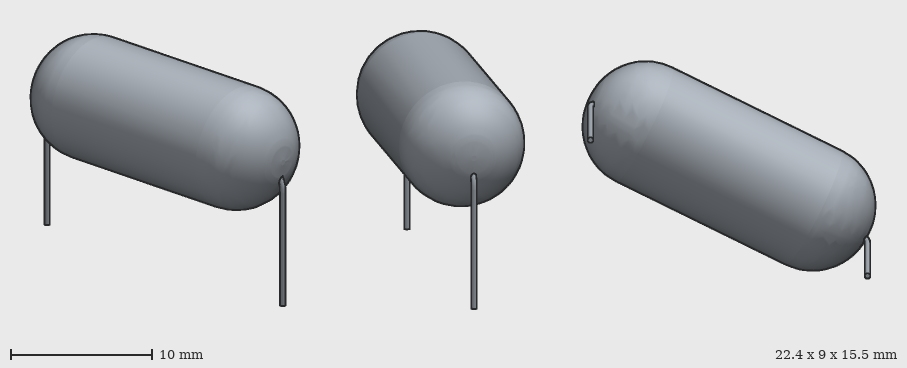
import cadquery as cq

OVERALL_LENGTH = 22.4
BODY_DIAMETER = 9.0
BARREL_LENGTH = 13.45
LEAD_DIAMETER = 0.4
BEND_RADIUS = 2.26
OVERALL_HEIGHT = 15.5

body_radius = BODY_DIAMETER / 2
lead_radius = LEAD_DIAMETER / 2
tip_radius = lead_radius
cap_radius = body_radius - tip_radius
body_length = BARREL_LENGTH + 2 * cap_radius
lead_x = OVERALL_LENGTH / 2 - lead_radius
lead_bottom = body_radius - OVERALL_HEIGHT
leg_length = -BEND_RADIUS - lead_bottom


def make_lead(side):
    """Vertical leg with a quarter bend inward to the capsule axis; side is -1 or 1."""
    leg_x = side * lead_x
    leg = (
        cq.Workplane("XY", origin=(leg_x, 0, lead_bottom))
        .circle(lead_radius)
        .extrude(leg_length)
    )
    bend = (
        cq.Workplane("XY", origin=(leg_x, 0, -BEND_RADIUS))
        .circle(lead_radius)
        .revolve(90, (-side * BEND_RADIUS, 0, 0), (-side * BEND_RADIUS, -side, 0))
    )
    return leg.union(bend, clean=False)


def make_body(leads):
    """Round-ended capsule with a matching socket for each lead."""
    body = (
        cq.Workplane("YZ", origin=(-body_length / 2, 0, 0))
        .circle(body_radius)
        .extrude(body_length)
        .edges("%CIRCLE")
        .fillet(cap_radius)
    )
    for lead in leads:
        body = body.cut(lead)
    return body


leads = [make_lead(side) for side in (-1, 1)]
body = make_body(leads)

result = cq.Compound.makeCompound(
    [body.solids().val(), *[lead.solids().val() for lead in leads]]
)